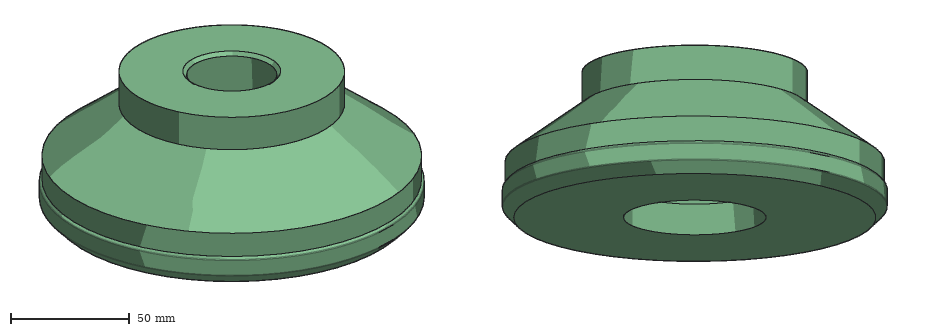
import cadquery as cq

height = 63.0
base_radius = 81.2
hub_radius = 80.0
neck_radius = 47.6
bore_radius = 19.0
counterbore_radius = 30.0

base_height = 13.3
counterbore_top = 37.7
cone_bottom = 24.0
neck_height = 15.0
bore_chamfer = 1.6
bottom_chamfer = 4.9
edge_round = 0.6
top_chamfer = base_radius - hub_radius
cone_top = height - neck_height


def revolve_profile(profile):
    """Turn a closed radius-height profile a full turn about Z."""
    return profile.close().revolve(360, (0, 0, 0), (0, 1, 0))


def make_base():
    """Ring with chamfered rims and softened chamfer corners."""
    ring = revolve_profile(
        cq.Workplane("XZ")
        .moveTo(counterbore_radius, 0)
        .lineTo(base_radius - bottom_chamfer, 0)
        .lineTo(base_radius, bottom_chamfer)
        .lineTo(base_radius, base_height - top_chamfer)
        .lineTo(hub_radius, base_height)
        .lineTo(counterbore_radius, base_height)
    )
    rim_edges = cq.selectors.RadiusNthSelector(-1)
    return ring.edges(rim_edges).fillet(edge_round)


def make_hub():
    """Conical hub with a cylindrical neck and a chamfered bore that widens below."""
    return revolve_profile(
        cq.Workplane("XZ")
        .moveTo(counterbore_radius, base_height)
        .lineTo(hub_radius, base_height)
        .lineTo(hub_radius, cone_bottom)
        .lineTo(neck_radius, cone_top)
        .lineTo(neck_radius, height)
        .lineTo(bore_radius + bore_chamfer, height)
        .lineTo(bore_radius, height - bore_chamfer)
        .lineTo(bore_radius, counterbore_top)
        .lineTo(counterbore_radius, counterbore_top)
    )


base = make_base()
hub = make_hub()

result = cq.Compound.makeCompound([base.val(), hub.val()])